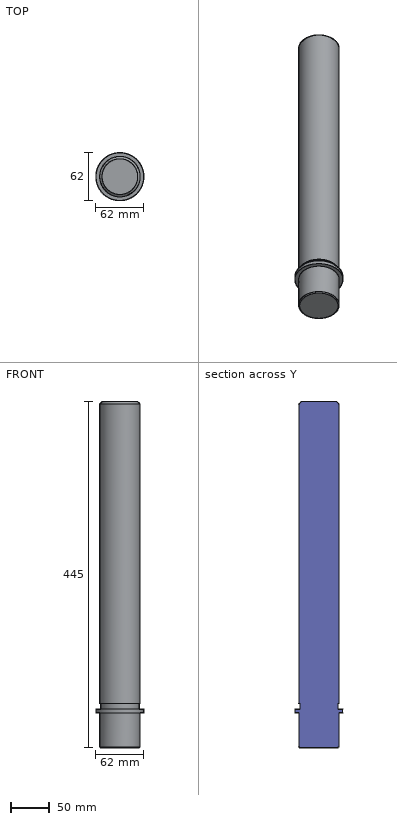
import cadquery as cq

total_length = 445.0
shaft_diameter = 52.0
neck_diameter = 50.0
collar_diameter = 62.0
collar_bottom = 45.0
collar_thickness = 5.0
neck_length = 7.0
top_chamfer = 3.0
bottom_chamfer = 1.5

collar_top = collar_bottom + collar_thickness
neck_top = collar_top + neck_length


def cylinder(diameter, bottom, top):
    """Solid cylinder on the Z axis between two heights."""
    return cq.Workplane("XY").workplane(offset=bottom).circle(diameter / 2).extrude(top - bottom)


plug = cylinder(shaft_diameter, 0, collar_bottom).faces("<Z").chamfer(bottom_chamfer)

collar = cylinder(collar_diameter, collar_bottom, collar_top)
neck = cylinder(neck_diameter, collar_top, neck_top)

shaft = cylinder(shaft_diameter, neck_top, total_length).faces(">Z").chamfer(top_chamfer)

result = plug.union(collar).union(neck).union(shaft)